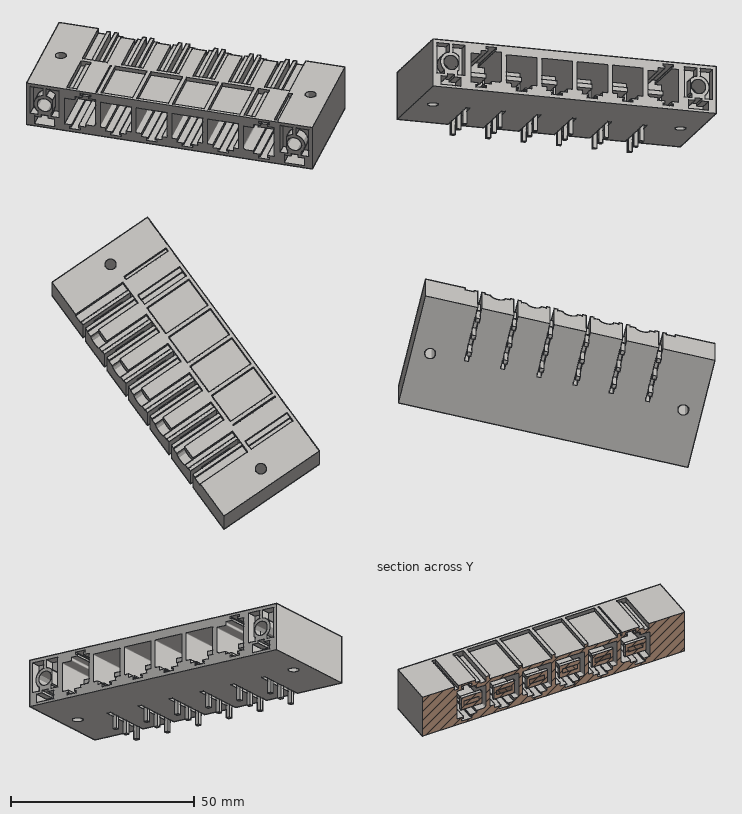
import cadquery as cq

LENGTH = 81.3
DEPTH = 32.0
HEIGHT = 13.5

CONTACT_COUNT = 6
PITCH = 10.2
FIRST_X = -PITCH * (CONTACT_COUNT - 1) / 2
CONTACT_X = [FIRST_X + i * PITCH for i in range(CONTACT_COUNT)]
LAST_X = CONTACT_X[-1]
BRIDGE_X = [x + PITCH / 2 for x in CONTACT_X[:-1]]

SOCKET_DEPTH = 14.95
SOCKET_HALF = 4.4
SOCKET_TOP = 11.0
SHOULDER_Z = 2.9
CORNER_RADIUS = 0.25
KEEL_HALF = 2.9
KEEL_Z = 1.95

GROOVE_NECK_WIDTH = 1.95
GROOVE_HEAD_WIDTH = 3.0
GROOVE_HEAD_HEIGHT = 0.6
GROOVE_BOTTOM_Z = 1.0
GROOVE_TOP_Z = 12.8
GROOVE_OFFSET = 1.5

END_LOW_TOP = 10.5
END_HIGH_TOP = 11.55
END_TOP_STEP = -1.5
END_BOTTOM_STEP = 1.55
END_BOTTOM_Z = 2.2
END_SHOULDER_RADIUS = 0.8

BLADE_WIDTH = 4.55
BLADE_THICKNESS = 1.2
BLADE_Z = 6.75
BLADE_TIP_Y = 7.3
TAIL_THICKNESS = 1.1
TAIL_FRONT_Y = DEPTH - 13.2
TAIL_REAR_Y = DEPTH - 1.6
TAIL_STEP_Y = DEPTH - 3.65
TAIL_TOP = 9.35
TAIL_BOTTOM = 2.4
BLADE_TOP = BLADE_Z + BLADE_THICKNESS / 2
PIN_COUNT = 3
PIN_SPACING = 5.0
PIN_DEPTH = 1.1
PIN_REAR_Y = DEPTH - 2.35
PIN_LENGTH = 3.6

COLLAR_WIDTH = 6.5
COLLAR_HEIGHT = 4.2
COLLAR_LENGTH = 1.6

WELL_FRONT_Y = 16.2
WELL_HALF = 3.1
WELL_FLOOR = HEIGHT - 1.5
RIB_WIDTH = 1.02
RIB_TOP = HEIGHT - 0.5
END_RECESS_REACH = 4.1
NOTCH_LENGTH = 2.6
NOTCH_RADIUS = PITCH / 2 - WELL_HALF

RECESS_FRONT_Y = 1.0
RECESS_REAR_Y = 14.95
RECESS_WIDTH = 9.0
RECESS_DEPTH = 1.1
STEP_SHALLOW = 0.8
STEP_DEEP = 1.6
LEFT_STEP_WIDTH = 2.85
LEFT_DEEP_WIDTH = 1.4
LEFT_GROOVE_START = 4.2
LEFT_GROOVE_WIDTH = 0.3
RIGHT_STEP_REACH = 4.5
RIGHT_STEP_WIDTH = 3.2
RIGHT_DEEP_WIDTH = 1.8
RIGHT_GROOVE_START = 4.15
RIGHT_GROOVE_WIDTH = 1.05

FLANGE_X = LENGTH / 2 - 5.1
FLANGE_POCKET_WIDTH = 8.1
FLANGE_POCKET_BOTTOM = 3.9
FLANGE_POCKET_TOP = 12.5
FLANGE_POCKET_DEPTH = 3.0
BOSS_Z = 7.2
BOSS_RADIUS = 3.0
BOSS_FLAT = 2.3
BORE_RADIUS = 2.0
BORE_DEPTH = 8.1
BOSS_WEB_WIDTH = 1.0
BOSS_FOOT_WIDTH = 3.8
NUT_SLOT_WIDTH = 5.7
NUT_SLOT_BOTTOM = 0.7
NUT_SLOT_TOP = 3.2
NUT_TAB_WIDTH = 1.95
NUT_TAB_TOP = 3.9
NUT_SLOT_DEPTH = 4.9
MOUNT_HOLE_DIAMETER = 3.0


def block(x_range, y_range, z_range):
    """Box between two limits on each axis."""
    lengths = [high - low for low, high in (x_range, y_range, z_range)]
    corner = (x_range[0], y_range[0], z_range[0])
    return cq.Workplane("XY").box(*lengths, centered=False).translate(corner)


def centred(x, width):
    """Limits of a width centred on x."""
    return (x - width / 2, x + width / 2)


def front_prism(points, depth):
    """Outline in X and Z, run from the front face into the housing."""
    return cq.Workplane("XZ").polyline(points).close().extrude(-depth)


def round_edges(prism, points, radius):
    """Fillet the lengthwise edges of a prism that start at the given X, Z points."""
    for x, z in points:
        prism = prism.edges(cq.selectors.NearestToPointSelector((x, SOCKET_DEPTH / 2, z))).fillet(radius)
    return prism


def coding_groove(x, outer_z, inner_z):
    """T-shaped groove whose wide head lies at outer_z and whose neck reaches inner_z."""
    head_z = outer_z + GROOVE_HEAD_HEIGHT * (1 if inner_z > outer_z else -1)
    depth = (0, SOCKET_DEPTH)
    head = block(centred(x, GROOVE_HEAD_WIDTH), depth, sorted((outer_z, head_z)))
    neck = block(centred(x, GROOVE_NECK_WIDTH), depth, sorted((outer_z, inner_z)))
    return head.union(neck)


def middle_socket(x):
    """Symmetric plug socket with a stepped keel and one groove below."""
    upper = block(centred(x, 2 * SOCKET_HALF), (0, SOCKET_DEPTH), (SHOULDER_Z, SOCKET_TOP))
    upper = upper.edges("|Y").fillet(CORNER_RADIUS)
    keel = block(centred(x, 2 * KEEL_HALF), (0, SOCKET_DEPTH), (KEEL_Z, BLADE_Z))
    return upper.union(keel).union(coding_groove(x, GROOVE_BOTTOM_Z, KEEL_Z))


def end_socket(x, side):
    """Keyed plug socket; side is -1 for the left end and 1 for the right end."""
    left, right = x - SOCKET_HALF, x + SOCKET_HALF
    top_step = x + END_TOP_STEP
    upper = front_prism(
        [
            (left, BLADE_Z),
            (left, END_LOW_TOP),
            (top_step, END_LOW_TOP),
            (top_step, END_HIGH_TOP),
            (right, END_HIGH_TOP),
            (right, BLADE_Z),
        ],
        SOCKET_DEPTH,
    )
    rounded = [
        (left, END_LOW_TOP),
        (top_step, END_LOW_TOP),
        (top_step, END_HIGH_TOP),
        (right, END_HIGH_TOP),
    ]
    upper = round_edges(upper, rounded, CORNER_RADIUS)

    deep_wall = x + side * SOCKET_HALF
    shoulder_wall = x - side * SOCKET_HALF
    bottom_step = x - side * END_BOTTOM_STEP
    lower = front_prism(
        [
            (deep_wall, BLADE_Z),
            (deep_wall, END_BOTTOM_Z),
            (bottom_step, END_BOTTOM_Z),
            (bottom_step, SHOULDER_Z),
            (shoulder_wall, SHOULDER_Z),
            (shoulder_wall, BLADE_Z),
        ],
        SOCKET_DEPTH,
    )
    lower = round_edges(lower, [(shoulder_wall, SHOULDER_Z)], END_SHOULDER_RADIUS)

    top_groove = coding_groove(x + GROOVE_OFFSET, GROOVE_TOP_Z, END_HIGH_TOP)
    bottom_groove = coding_groove(x + side * GROOVE_OFFSET, GROOVE_BOTTOM_Z, END_BOTTOM_Z)
    return upper.union(lower).union(top_groove).union(bottom_groove)


def blade_collar(x):
    """Block standing forward from the socket floor around the blade."""
    y_range = (SOCKET_DEPTH - COLLAR_LENGTH, SOCKET_DEPTH)
    return block(centred(x, COLLAR_WIDTH), y_range, centred(BLADE_Z, COLLAR_HEIGHT))


def rear_well(x):
    """Well open to the rear, with two ribs left standing and a slot through to the board face."""
    left, right = x - WELL_HALF, x + WELL_HALF
    if x == FIRST_X:
        left = x - END_RECESS_REACH
    if x == LAST_X:
        right = x + END_RECESS_REACH
    y_range = (WELL_FRONT_Y, DEPTH)
    well = block((left, right), y_range, (WELL_FLOOR, HEIGHT))
    ribs = block(centred(x, TAIL_THICKNESS + 2 * RIB_WIDTH), y_range, (WELL_FLOOR, RIB_TOP))
    slot = block(centred(x, TAIL_THICKNESS), y_range, (0, HEIGHT))
    return well.cut(ribs).union(slot)


def rear_notch(x):
    """Round-bottomed notch across the rear end of the bridge between two wells."""
    y_range = (DEPTH - NOTCH_LENGTH, DEPTH)
    clearance = block(centred(x, 2 * NOTCH_RADIUS), y_range, (WELL_FLOOR, HEIGHT))
    cylinder = cq.Workplane("XZ").center(x, WELL_FLOOR).circle(NOTCH_RADIUS).extrude(NOTCH_LENGTH)
    return clearance.union(cylinder.translate((0, DEPTH, 0)))


def top_recess(x_range, depth):
    """Front recess in the top face."""
    return block(x_range, (RECESS_FRONT_Y, RECESS_REAR_Y), (HEIGHT - depth, HEIGHT))


def end_recesses():
    """Stepped recess and narrow groove above each of the two keyed sockets."""
    recesses = []
    left_start = FIRST_X - END_RECESS_REACH
    left_groove = FIRST_X + LEFT_GROOVE_START
    right_start = LAST_X - RIGHT_STEP_REACH
    right_groove = LAST_X + RIGHT_GROOVE_START
    ends = [
        (left_start, LEFT_STEP_WIDTH, LEFT_DEEP_WIDTH, left_groove, LEFT_GROOVE_WIDTH),
        (right_start, RIGHT_STEP_WIDTH, RIGHT_DEEP_WIDTH, right_groove, RIGHT_GROOVE_WIDTH),
    ]
    for start, step_width, deep_width, groove_start, groove_width in ends:
        recesses.append(top_recess((start, start + step_width), STEP_SHALLOW))
        recesses.append(top_recess((start, start + deep_width), STEP_DEEP))
        recesses.append(top_recess((groove_start, groove_start + groove_width), RECESS_DEPTH))
    return recesses


def flange_cut(side):
    """Front pocket around the screw boss, bore, nut slot and mounting hole of one flange."""
    x = side * FLANGE_X
    pocket_y = (0, FLANGE_POCKET_DEPTH)
    pocket_z = (FLANGE_POCKET_BOTTOM, FLANGE_POCKET_TOP)
    pocket = block(centred(x, FLANGE_POCKET_WIDTH), pocket_y, pocket_z)

    boss = cq.Workplane("XZ").center(x, BOSS_Z).circle(BOSS_RADIUS).extrude(-FLANGE_POCKET_DEPTH)
    flat_limits = sorted((x - side * BOSS_FLAT, x + side * BOSS_RADIUS))
    boss = boss.intersect(block(flat_limits, pocket_y, pocket_z))
    web = block(centred(x, BOSS_WEB_WIDTH), pocket_y, (BOSS_Z, FLANGE_POCKET_TOP))
    foot = block(centred(x, BOSS_FOOT_WIDTH), pocket_y, (FLANGE_POCKET_BOTTOM, BOSS_Z))
    pocket = pocket.cut(boss).cut(web).cut(foot)

    bore = cq.Workplane("XZ").center(x, BOSS_Z).circle(BORE_RADIUS).extrude(-BORE_DEPTH)
    slot_y = (0, NUT_SLOT_DEPTH)
    nut_slot = block(centred(x, NUT_SLOT_WIDTH), slot_y, (NUT_SLOT_BOTTOM, NUT_SLOT_TOP))
    nut_tab = block(centred(x, NUT_TAB_WIDTH), slot_y, (NUT_SLOT_TOP, NUT_TAB_TOP))
    hole = cq.Workplane("XY").center(x, DEPTH / 2).circle(MOUNT_HOLE_DIAMETER / 2).extrude(HEIGHT)
    return pocket.union(bore).union(nut_slot.union(nut_tab)).union(hole)


def make_contact(x):
    """Blade facing the plug, upright tail in the slot and solder pins below the housing."""
    blade = block(centred(x, BLADE_WIDTH), (BLADE_TIP_Y, TAIL_FRONT_Y), centred(BLADE_Z, BLADE_THICKNESS))
    tail_x = centred(x, TAIL_THICKNESS)
    tail = block(tail_x, (TAIL_FRONT_Y, TAIL_REAR_Y), (TAIL_BOTTOM, BLADE_TOP))
    tail_crest = block(tail_x, (TAIL_FRONT_Y, TAIL_STEP_Y), (BLADE_TOP, TAIL_TOP))
    contact = blade.union(tail).union(tail_crest)
    for i in range(PIN_COUNT):
        pin_y = PIN_REAR_Y - i * PIN_SPACING
        contact = contact.union(block(tail_x, centred(pin_y, PIN_DEPTH), (-PIN_LENGTH, TAIL_BOTTOM)))
    return contact


def make_housing(contacts):
    """Housing block with all its openings, fitted closely around the contacts."""
    housing = block(centred(0, LENGTH), (0, DEPTH), (0, HEIGHT))
    housing = housing.cut(end_socket(FIRST_X, -1)).cut(end_socket(LAST_X, 1))
    for x in CONTACT_X[1:-1]:
        housing = housing.cut(middle_socket(x))
        housing = housing.cut(top_recess(centred(x, RECESS_WIDTH), RECESS_DEPTH))
    for x in CONTACT_X:
        housing = housing.union(blade_collar(x)).cut(rear_well(x))
    for x in BRIDGE_X:
        housing = housing.cut(rear_notch(x))
    for recess in end_recesses():
        housing = housing.cut(recess)
    for side in (-1, 1):
        housing = housing.cut(flange_cut(side))
    for contact in contacts:
        housing = housing.cut(contact)
    return housing


contacts = [make_contact(x) for x in CONTACT_X]
housing = make_housing(contacts)

result = cq.Compound.makeCompound([housing.val(), *[contact.val() for contact in contacts]])